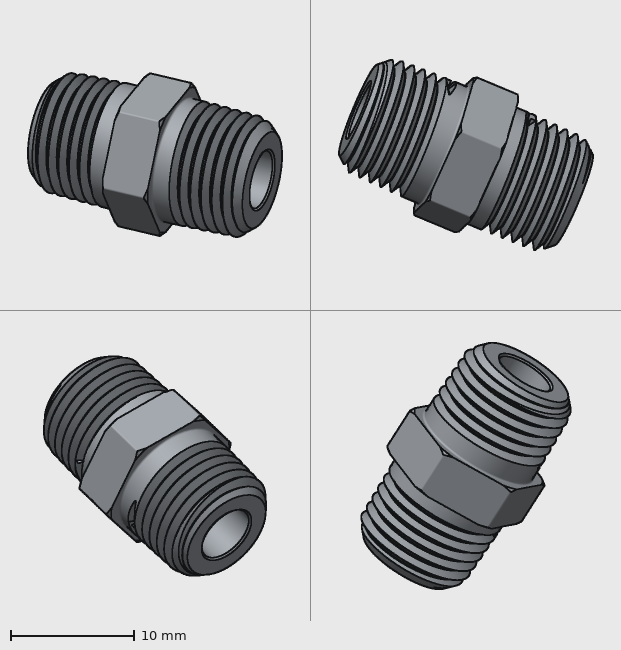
import cadquery as cq
import math

length = 19.05
hex_across_flats = 11.1
hex_width = 4.0
hex_corner_fillet = 0.2
hex_chamfer_radius = 6.04
hex_chamfer_angle = 30.0

neck_radius = 10.287 / 2
neck_fillet = 0.17
end_radius = 4.02
end_chamfer_angle = 40.5

bore_radius = 2.4
bore_chamfer = 0.16

pitch = 25.4 / 27
taper = 1 / 32
flank_half_angle = 30.0
root_flat = 0.07
crest_flat = 0.03
cutter_gap = 0.008
thread_length = 6.0
last_root_radius = 4.43
turns = 7
runout_angle = 7.0
runout_length = 3.5

half_length = length / 2
hex_face = -hex_width / 2
flank_slope = math.tan(math.radians(flank_half_angle))
groove_end = -half_length + thread_length
thread_depth = (pitch - root_flat - crest_flat) / (2 * flank_slope)
cutter_depth = (pitch - root_flat - cutter_gap) / (2 * flank_slope)


def crest_radius(x):
    """Radius of the tapered thread envelope at x, on the -X end."""
    return last_root_radius + thread_depth + taper * (x - groove_end)


def make_blank_end():
    """Unthreaded -X end: chamfer, taper, neck and the fillet against the hex."""
    chamfer_slope = math.tan(math.radians(end_chamfer_angle))
    chamfer_length = (crest_radius(-half_length) - end_radius) / (chamfer_slope - taper)
    chamfer_end = -half_length + chamfer_length
    taper_end = groove_end + (neck_radius - crest_radius(groove_end)) / taper
    fillet_mid = neck_fillet * (1 - math.sqrt(0.5))
    return (
        cq.Workplane("XY")
        .moveTo(-half_length, 0)
        .lineTo(-half_length, end_radius)
        .lineTo(chamfer_end, crest_radius(chamfer_end))
        .lineTo(taper_end, neck_radius)
        .lineTo(hex_face - neck_fillet, neck_radius)
        .threePointArc(
            (hex_face - fillet_mid, neck_radius + fillet_mid),
            (hex_face, neck_radius + neck_fillet),
        )
        .lineTo(0, neck_radius + neck_fillet)
        .lineTo(0, 0)
        .close()
        .revolve(360, (0, 0, 0), (1, 0, 0))
    )


def groove_section(workplane, root_radius, axial):
    """V section with a narrow root flat, opening outward along the plane's local x."""
    root_half = root_flat / 2
    mouth_half = root_half + cutter_depth * flank_slope
    mouth_radius = root_radius + cutter_depth
    return workplane.polyline(
        [
            (root_radius, axial - root_half),
            (mouth_radius, axial - mouth_half),
            (mouth_radius, axial + mouth_half),
            (root_radius, axial + root_half),
        ]
    ).close()


def make_thread_cutters():
    """Straight tangential run-out and helical groove of the -X end."""
    helix_length = turns * pitch
    first_root_radius = last_root_radius - taper * helix_length
    helix = cq.Wire.makeHelix(
        pitch, helix_length, first_root_radius, angle=math.degrees(math.atan(taper))
    )
    groove = groove_section(cq.Workplane("XZ"), first_root_radius, 0).sweep(
        cq.Workplane(obj=helix), isFrenet=True
    )
    runout = groove_section(cq.Workplane("XZ"), last_root_radius, helix_length).extrude(
        -runout_length
    )

    def place(cutter):
        return (
            cutter.rotate((0, 0, 0), (0, 1, 0), 90)
            .rotate((0, 0, 0), (1, 0, 0), 90 - runout_angle)
            .translate((groove_end - helix_length, 0, 0))
        )

    return place(runout), place(groove)


def make_threaded_end():
    """Blank end with the run-out and the helical groove cut into it."""
    end = make_blank_end()
    for cutter in make_thread_cutters():
        end = end.cut(cutter)
    return end


def make_hex():
    """Hexagon with flats facing +Z and -Z, rounded corners and chamfered ends."""
    sharp_corner_radius = hex_across_flats / 2 / math.cos(math.radians(30))
    prism = (
        cq.Workplane("YZ", origin=(hex_face, 0, 0))
        .polygon(6, 2 * sharp_corner_radius)
        .extrude(hex_width)
        .edges("|X")
        .fillet(hex_corner_fillet)
    )
    chamfer_slope = math.tan(math.radians(hex_chamfer_angle))
    chamfer_depth = (sharp_corner_radius - hex_chamfer_radius) * chamfer_slope
    envelope = (
        cq.Workplane("XY")
        .moveTo(hex_face, 0)
        .lineTo(hex_face, hex_chamfer_radius)
        .lineTo(hex_face + chamfer_depth, sharp_corner_radius)
        .lineTo(-hex_face - chamfer_depth, sharp_corner_radius)
        .lineTo(-hex_face, hex_chamfer_radius)
        .lineTo(-hex_face, 0)
        .close()
        .revolve(360, (0, 0, 0), (1, 0, 0))
    )
    return prism.intersect(envelope)


def make_bore():
    """Through bore with a small 45 degree chamfer at each mouth."""
    mouth_radius = bore_radius + bore_chamfer
    return (
        cq.Workplane("XY")
        .moveTo(-half_length, 0)
        .lineTo(-half_length, mouth_radius)
        .lineTo(-half_length + bore_chamfer, bore_radius)
        .lineTo(half_length - bore_chamfer, bore_radius)
        .lineTo(half_length, mouth_radius)
        .lineTo(half_length, 0)
        .close()
        .revolve(360, (0, 0, 0), (1, 0, 0))
    )


left_end = make_threaded_end()
right_end = left_end.rotate((0, 0, 0), (0, 1, 0), 180)
result = make_hex().union(left_end).union(right_end).cut(make_bore())